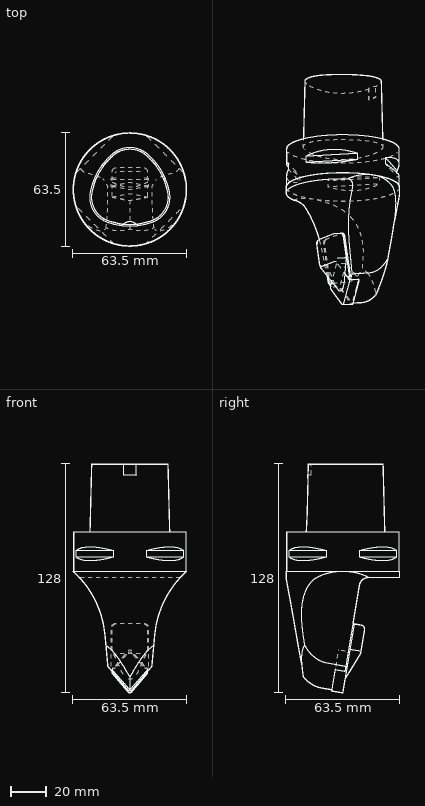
import cadquery as cq
import math

SHANK_HEIGHT = 38.0
SHANK_MEAN_RADIUS = 22.0
SHANK_ECCENTRICITY = 1.5
LOBE_RADIUS = 15.0
SHANK_TAPER = math.degrees(math.atan(1 / 40))
KEYWAY_RADIUS = 4.75
KEYWAY_INSET = 2.6
KEYWAY_HEIGHT = 6.2

FLANGE_DIAMETER = 63.0
FLANGE_HEIGHT = 22.0
COLLAR_DIAMETER = 63.5
COLLAR_BACK_BOTTOM = -26.35
COLLAR_FRONT_BOTTOM = -25.55
GRIPPER_LEVEL = -12.2
GRIPPER_LENGTH = 29.5
GRIPPER_FLOOR_WIDTH = 3.5
GRIPPER_WALL_ANGLE = 30.0

TOOL_LENGTH = 90.0
NECK_TAPER = 10.0
NECK_BOTTOM = -TOOL_LENGTH - 10.0
FLUTE_LINE_TOP = (14.0, -57.2)
FLUTE_LINE_BOTTOM = (12.0, -79.0)

RAKE = 9.5
FACE_DROP = 0.75
FACE_FILLET = 5.0
NOSE_HALF_ANGLE = 41.0
NOSE_TIP_GAP = 0.7
NOSE_LAND = 12.0
NOSE_BACK_RADIUS = 23.0
NOSE_BACK_SWEEP = 55.0

INSERT_INSCRIBED_DIAMETER = 15.875
INSERT_ANGLE = 80.0
INSERT_THICKNESS = 6.35
INSERT_NOSE_RADIUS = 1.2

CLAMP_TOP = 39.2
CLAMP_SHOULDER = 24.7
CLAMP_RAMP_START = 23.4
CLAMP_TIP = 8.0
CLAMP_HALF_WIDTH = 10.0
CLAMP_TIP_HALF_WIDTH = 3.0
CLAMP_HEIGHT = 6.2
CLAMP_CORNER_RADIUS = 2.6
CLAMP_FILLET = 2.5
CLAMP_ROOT = 8.0
PAD_HALF_WIDTH = 10.5
PAD_BOTTOM = 14.0

EDGE_TOLERANCE = 0.01
CUT_REACH = 60.0

flange_radius = FLANGE_DIAMETER / 2
collar_radius = COLLAR_DIAMETER / 2

rake_sin = math.sin(math.radians(RAKE))
rake_cos = math.cos(math.radians(RAKE))
face_plane = cq.Plane(origin=(0, 0, -TOOL_LENGTH), xDir=(-1, 0, 0), normal=(0, rake_cos, -rake_sin))


def polar(radius, angle, center=(0.0, 0.0)):
    """Point at a radius and an angle in degrees from a centre."""
    a = math.radians(angle)
    return (center[0] + radius * math.cos(a), center[1] + radius * math.sin(a))


def make_shank():
    """Tapered three-lobed polygon shank: three lobe arcs and three flank arcs, all tangent."""
    lobe_reach = SHANK_MEAN_RADIUS + SHANK_ECCENTRICITY
    flank_reach = SHANK_MEAN_RADIUS - SHANK_ECCENTRICITY
    lobe_center = lobe_reach - LOBE_RADIUS
    radius_step = flank_reach - LOBE_RADIUS
    flank_center = (lobe_center**2 - radius_step**2) / (2 * radius_step - lobe_center)
    flank_radius = flank_reach + flank_center
    half_chord = lobe_center * math.sin(math.radians(60))
    half_flank = math.degrees(math.asin(half_chord / (flank_radius - LOBE_RADIUS)))

    lobe_start = polar(flank_radius, 30 + half_flank, polar(flank_center, 30 + 180))
    outline = cq.Workplane("XY").moveTo(*lobe_start)
    for lobe_angle in (90, 210, 330):
        flank_angle = lobe_angle + 60
        center = polar(flank_center, flank_angle + 180)
        flank_start = polar(flank_radius, flank_angle - half_flank, center)
        flank_end = polar(flank_radius, flank_angle + half_flank, center)
        outline = outline.threePointArc(polar(lobe_reach, lobe_angle), flank_start)
        outline = outline.threePointArc(polar(flank_reach, flank_angle), flank_end)
    shank = outline.close().extrude(SHANK_HEIGHT, taper=SHANK_TAPER)

    keyway_y = -flank_reach - KEYWAY_RADIUS + KEYWAY_INSET
    keyway = (
        cq.Workplane("XY", origin=(0, keyway_y, SHANK_HEIGHT))
        .circle(KEYWAY_RADIUS)
        .extrude(-KEYWAY_HEIGHT)
    )
    return shank.cut(keyway)


def make_flange():
    """Round flange with four flat-bottomed gripper grooves on the diagonals."""
    flange = cq.Workplane("XY").circle(flange_radius).extrude(-FLANGE_HEIGHT)
    floor_distance = math.sqrt(flange_radius**2 - (GRIPPER_LENGTH / 2) ** 2)
    depth = flange_radius - floor_distance
    floor_half = GRIPPER_FLOOR_WIDTH / 2
    mouth_half = floor_half + depth * math.tan(math.radians(GRIPPER_WALL_ANGLE))
    groove = (
        cq.Workplane("XZ", origin=(0, GRIPPER_LENGTH / 2, GRIPPER_LEVEL))
        .polyline([
            (floor_distance, -floor_half),
            (flange_radius, -mouth_half),
            (flange_radius, mouth_half),
            (floor_distance, floor_half),
        ])
        .close()
        .extrude(GRIPPER_LENGTH)
    )
    for angle in (45, 135, 225, 315):
        flange = flange.cut(groove.rotate((0, 0, 0), (0, 0, 1), angle))
    return flange


def make_neck():
    """Collar and conical neck, before the cutting face, flutes and nose are cut."""
    neck_length = COLLAR_BACK_BOTTOM - NECK_BOTTOM
    neck_bottom_radius = collar_radius - neck_length * math.tan(math.radians(NECK_TAPER))
    return (
        cq.Workplane("XZ")
        .polyline([
            (0, -FLANGE_HEIGHT),
            (collar_radius, -FLANGE_HEIGHT),
            (collar_radius, COLLAR_BACK_BOTTOM),
            (neck_bottom_radius, NECK_BOTTOM),
            (0, NECK_BOTTOM),
        ])
        .close()
        .revolve(360, (0, 0, 0), (0, 1, 0))
    )


def chip_space_cut():
    """Space in front of the tilted cutting face, with a filleted corner under the collar."""
    cut_bottom = NECK_BOTTOM - 1

    def face_y(z):
        return ((z + TOOL_LENGTH) * rake_sin - FACE_DROP) / rake_cos

    return (
        cq.Workplane("YZ", origin=(-CUT_REACH, 0, 0))
        .polyline([
            (face_y(COLLAR_FRONT_BOTTOM), COLLAR_FRONT_BOTTOM),
            (CUT_REACH, COLLAR_FRONT_BOTTOM),
            (CUT_REACH, cut_bottom),
            (face_y(cut_bottom), cut_bottom),
        ])
        .close()
        .extrude(2 * CUT_REACH)
        .edges("|X")
        .edges(">Z")
        .edges("<Y")
        .fillet(FACE_FILLET)
    )


def flute_stock():
    """Prism along Y between the two concave side flutes; the neck is kept inside it."""
    x0, z0 = FLUTE_LINE_TOP
    x1, z1 = FLUTE_LINE_BOTTOM
    foot_x = x0 + (x0 - x1) / (z0 - z1) * (NECK_BOTTOM - z0)
    half = (
        cq.Workplane("XZ", origin=(0, CUT_REACH, 0))
        .moveTo(0, NECK_BOTTOM)
        .lineTo(foot_x, NECK_BOTTOM)
        .lineTo(x0, z0)
        .tangentArcPoint((collar_radius, -FLANGE_HEIGHT), relative=False)
        .lineTo(0, -FLANGE_HEIGHT)
        .close()
        .extrude(2 * CUT_REACH)
    )
    return half.union(half.mirror("YZ"))


def nose_cut(side):
    """Cutter for one nose wall: square to the cutting face, then rounding in towards the back."""
    half = math.radians(NOSE_HALF_ANGLE)
    outward = face_plane.toWorldCoords((side * math.cos(half), -math.sin(half), 0)) - face_plane.origin
    along = outward.cross(face_plane.zDir)
    apex = face_plane.toWorldCoords((0, NOSE_TIP_GAP, 0))
    section = cq.Plane(origin=apex - along * CUT_REACH, xDir=outward, normal=along)
    arc_center = (-NOSE_BACK_RADIUS, -NOSE_LAND)
    arc_middle = polar(NOSE_BACK_RADIUS, -NOSE_BACK_SWEEP / 2, arc_center)
    arc_end = polar(NOSE_BACK_RADIUS, -NOSE_BACK_SWEEP, arc_center)
    return (
        cq.Workplane(section)
        .moveTo(0, CUT_REACH)
        .lineTo(0, -NOSE_LAND)
        .threePointArc(arc_middle, arc_end)
        .lineTo(CUT_REACH, arc_end[1])
        .lineTo(CUT_REACH, CUT_REACH)
        .close()
        .extrude(2 * CUT_REACH)
    )


def make_clamp():
    """Clamp nose on the cutting face: parallel flanks, then narrowing and ramping down to its tip."""
    side_plane = cq.Plane(
        origin=face_plane.toWorldCoords((-CLAMP_HALF_WIDTH, 0, 0)),
        xDir=face_plane.yDir,
        normal=face_plane.xDir,
    )
    block = (
        cq.Workplane(side_plane)
        .polyline([
            (CLAMP_TIP, -CLAMP_ROOT),
            (CLAMP_TIP, 0),
            (CLAMP_RAMP_START, CLAMP_HEIGHT),
            (CLAMP_TOP, CLAMP_HEIGHT),
            (CLAMP_TOP, -CLAMP_ROOT),
        ])
        .close()
        .extrude(2 * CLAMP_HALF_WIDTH)
    )
    plan = (
        cq.Workplane(face_plane)
        .polyline([
            (CLAMP_TIP_HALF_WIDTH, CLAMP_TIP),
            (CLAMP_HALF_WIDTH, CLAMP_SHOULDER),
            (CLAMP_HALF_WIDTH, CLAMP_TOP),
            (-CLAMP_HALF_WIDTH, CLAMP_TOP),
            (-CLAMP_HALF_WIDTH, CLAMP_SHOULDER),
            (-CLAMP_TIP_HALF_WIDTH, CLAMP_TIP),
        ])
        .close()
        .extrude(2 * CLAMP_ROOT, both=True)
    )
    clamp = block.intersect(plan)
    clamp = round_upper_corners(clamp)
    clamp = clamp.newObject(clamp_rim_edges(clamp)).fillet(CLAMP_FILLET)
    below_face = cq.Workplane(face_plane).rect(2 * CUT_REACH, 2 * CUT_REACH).extrude(-CUT_REACH)
    pad = (
        cq.Workplane(face_plane)
        .center(0, (CLAMP_TOP + PAD_BOTTOM) / 2)
        .rect(2 * PAD_HALF_WIDTH, CLAMP_TOP - PAD_BOTTOM)
        .extrude(-FACE_DROP)
    )
    return clamp.cut(below_face).union(round_upper_corners(pad))


def round_upper_corners(block):
    """Round the two plan corners at the end of a block that is farthest from the tip."""
    upright = cq.selectors.ParallelDirSelector(face_plane.zDir)
    farthest = cq.selectors.DirectionMinMaxSelector(face_plane.yDir)
    return block.edges(upright).edges(farthest).fillet(CLAMP_CORNER_RADIUS)


def clamp_rim_edges(clamp):
    """Edges around the clamp's top face and ramp, apart from the fold between them and the tip."""
    rim = []
    for edge in clamp.edges().vals():
        start = face_plane.toLocalCoords(edge.startPoint())
        end = face_plane.toLocalCoords(edge.endPoint())
        on_top = min(start.z, end.z) > -EDGE_TOLERANCE
        across = abs(start.y - end.y) < EDGE_TOLERANCE
        if on_top and not (across and start.y < CLAMP_TOP - EDGE_TOLERANCE):
            rim.append(edge)
    return rim


def make_insert():
    """Rhombic plate with its acute corner at the tool tip and rounded corners."""
    half_angle = math.radians(INSERT_ANGLE / 2)
    inscribed_radius = INSERT_INSCRIBED_DIAMETER / 2
    half_length = inscribed_radius / math.sin(half_angle)
    half_width = inscribed_radius / math.cos(half_angle)
    corner_loss = INSERT_NOSE_RADIUS * (1 / math.sin(half_angle) - 1)
    center_y = half_length - corner_loss
    return (
        cq.Workplane(face_plane)
        .polyline([
            (0, center_y - half_length),
            (half_width, center_y),
            (0, center_y + half_length),
            (-half_width, center_y),
        ])
        .close()
        .extrude(-INSERT_THICKNESS)
        .edges(cq.selectors.ParallelDirSelector(face_plane.zDir))
        .fillet(INSERT_NOSE_RADIUS)
    )


def make_holder(insert):
    """Shank, flange, neck and clamp as one body, with a seat that matches the insert."""
    neck = make_neck().intersect(flute_stock()).cut(chip_space_cut())
    for side in (1, -1):
        neck = neck.cut(nose_cut(side))
    return make_shank().union(make_flange()).union(neck).union(make_clamp()).cut(insert)


insert = make_insert()
holder = make_holder(insert)
result = cq.Compound.makeCompound([holder.solids().val(), insert.solids().val()])